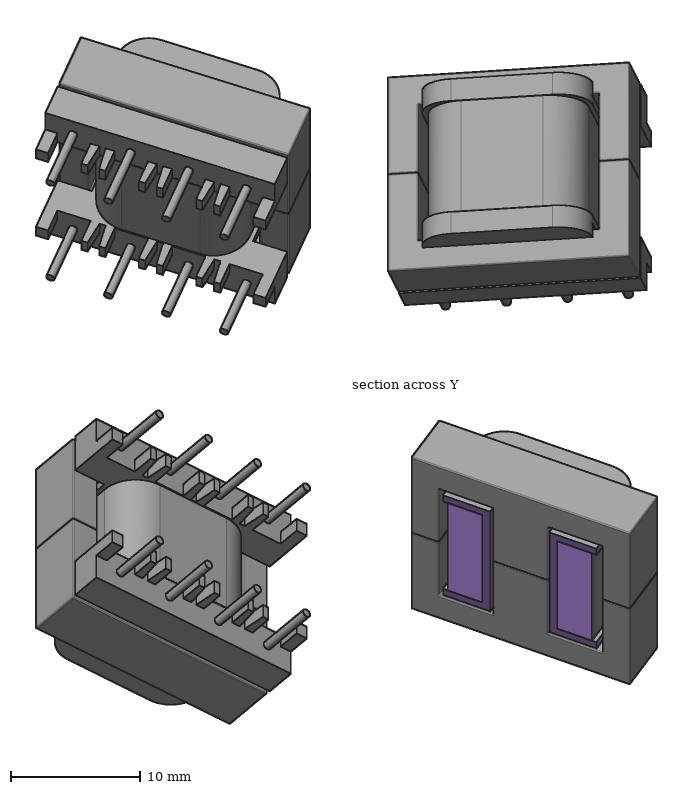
import cadquery as cq

core_width = 19.0
core_height = 16.0
core_depth = 4.75
outer_leg_width = 2.4
centre_leg_width = 2 * outer_leg_width
core_edge_radius = 0.1

tube_hole_width = 5.13
tube_hole_depth = 5.35
tube_wall = 0.7
flange_width = 13.34
flange_thickness = 0.7
winding_height = 9.15
rear_block_height = 1.8
block_depth = 2.68

lug_length = 2.01
lug_height = 1.2
lug_width = 1.0
guide_width = 2.0
guide_gap_at_root = 0.5
guide_gap_at_tip = 0.95
guide_count = 3
guide_pitch = 4.75

pin_diameter = 0.7
pin_length = 4.98
pin_pitch = 4.79
pin_count = 4
pin_height = 6.35

winding_width = 12.58
winding_depth = 10.53
winding_corner_radius = 3.05

flange_inner_z = winding_height / 2
block_inner_y = tube_hole_depth / 2
block_outer_y = block_inner_y + block_depth
bar_height = core_height / 2 - flange_inner_z
tube_width = tube_hole_width + 2 * tube_wall
tube_depth = tube_hole_depth + 2 * tube_wall


def prism(width, depth, bottom, height):
    """Upright box centred on the Z axis."""
    return cq.Workplane("XY").workplane(offset=bottom).rect(width, depth).extrude(height)


def evenly_spaced(count, pitch):
    """Positions with equal pitch, centred on zero."""
    return [(i - (count - 1) / 2) * pitch for i in range(count)]


def mirrored_down(body):
    """The same body reflected to the -Z side."""
    return body.mirror("XY")


def make_core_half():
    """Upper E-shaped core half, with every edge lightly rounded."""
    half_height = core_height / 2
    window_height = half_height - outer_leg_width
    window_width = (core_width - centre_leg_width) / 2 - outer_leg_width
    window_x = (centre_leg_width + window_width) / 2
    blank = prism(core_width, core_depth, 0, half_height)
    windows = (
        cq.Workplane("XY")
        .pushPoints([(-window_x, 0), (window_x, 0)])
        .rect(window_width, core_depth)
        .extrude(window_height)
    )
    return blank.cut(windows).edges().fillet(core_edge_radius)


def make_rear_block():
    """Block on the upper flange behind the core, its rear corners rounded over its full depth."""
    half_width = flange_width / 2
    straight_x = half_width - block_depth
    return (
        cq.Workplane("XY")
        .workplane(offset=flange_inner_z)
        .moveTo(-half_width, block_inner_y)
        .lineTo(half_width, block_inner_y)
        .radiusArc((straight_x, block_outer_y), -block_depth)
        .lineTo(-straight_x, block_outer_y)
        .radiusArc((-half_width, block_inner_y), -block_depth)
        .close()
        .extrude(rear_block_height)
    )


def make_lugs():
    """Square lugs at both ends of the upper terminal bar."""
    lug_x = (core_width - lug_width) / 2
    return (
        cq.Workplane("XY")
        .workplane(offset=flange_inner_z)
        .pushPoints([(x, -block_outer_y - lug_length / 2) for x in (-lug_x, lug_x)])
        .rect(lug_width, lug_length)
        .extrude(lug_height)
    )


def make_guide_prong(guide_x, side):
    """One prong of a forked wire guide; side is -1 or +1."""
    tip_y = -block_outer_y - lug_length
    outer_x = guide_x + side * guide_width / 2
    root_x = guide_x + side * guide_gap_at_root / 2
    tip_x = guide_x + side * guide_gap_at_tip / 2
    return (
        cq.Workplane("XY")
        .workplane(offset=flange_inner_z)
        .moveTo(outer_x, -block_outer_y)
        .lineTo(root_x, -block_outer_y)
        .lineTo(tip_x, tip_y)
        .lineTo(outer_x, tip_y)
        .close()
        .extrude(lug_height)
    )


def make_pins():
    """Row of round pins standing on the front of the upper terminal bar."""
    return (
        cq.Workplane("XZ", origin=(0, -block_outer_y, 0))
        .pushPoints([(x, pin_height) for x in evenly_spaced(pin_count, pin_pitch)])
        .circle(pin_diameter / 2)
        .extrude(pin_length)
    )


def make_bobbin_end():
    """Upper bobbin end: flange, rear block, terminal bar, lugs, guides and pins."""
    end = prism(flange_width, tube_hole_depth, flange_inner_z, flange_thickness)
    bar = prism(core_width, block_depth, flange_inner_z, bar_height)
    end = end.union(bar.translate((0, -block_inner_y - block_depth / 2, 0)))
    end = end.union(make_rear_block())
    end = end.union(make_lugs())
    for guide_x in evenly_spaced(guide_count, guide_pitch):
        for side in (-1, 1):
            end = end.union(make_guide_prong(guide_x, side))
    return end.union(make_pins())


def make_bobbin():
    """Bobbin: both ends joined by a tube, with the core hole right through."""
    upper_end = make_bobbin_end()
    tube = prism(tube_width, tube_depth, -flange_inner_z, winding_height)
    hole = prism(tube_hole_width, tube_hole_depth, -core_height / 2, core_height)
    return tube.union(upper_end).union(mirrored_down(upper_end)).cut(hole)


def make_winding():
    """Wire coil filling the bobbin between its ends."""
    coil = prism(winding_width, winding_depth, -flange_inner_z, winding_height)
    coil = coil.edges("|Z").fillet(winding_corner_radius)
    return coil.cut(prism(tube_width, tube_depth, -flange_inner_z, winding_height))


upper_core = make_core_half()
lower_core = mirrored_down(upper_core)
bobbin = make_bobbin()
winding = make_winding()

result = cq.Compound.makeCompound([upper_core.val(), lower_core.val(), bobbin.val(), winding.val()])